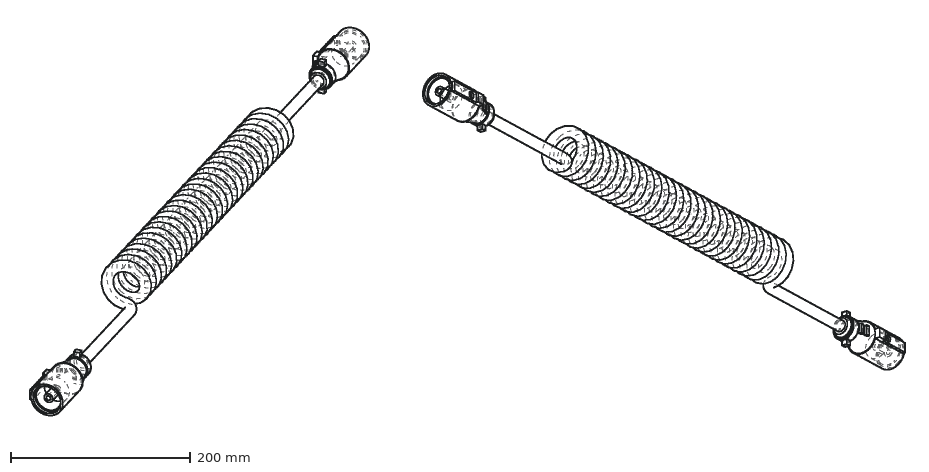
import cadquery as cq
import math


overall_length = 891.0
coil_offset = 7.0
cable_diameter = 13.0
cable_radius = cable_diameter / 2

coil_diameter = 44.0
coil_radius = coil_diameter / 2
turns = 29
coil_length = 399.0
pitch = coil_length / turns
helix_angle = math.atan2(pitch, 2 * math.pi * coil_radius)

lead_spacing = 28.0
lead_offset = lead_spacing / 2
lead_height = -coil_radius
bend_radius = lead_offset / (1 - math.sin(helix_angle))
bend_length = bend_radius * math.cos(helix_angle)
bend_sweep = 90 - math.degrees(helix_angle)

body_radius = 20.0
body_length = 54.0
cone_front_radius = 19.0
cone_rear_radius = 12.5
collar_start = 79.0
collar_end = 88.0
collar_radius = 14.0
neck_radius = 12.5
neck_straight = 3.0
neck_end_radius = 10.0
plug_length = 94.5

mouth_radius = 17.0
mouth_depth = 4.5
socket_radius = 15.0
socket_depth = 27.0
pin_radius = 5.0
pin_bore_radius = 3.0
pin_length = 22.0

rib_width = 12.0
rib_reach = 22.0
rib_start = 3.0
catch_reach = 25.0
catch_length = 11.0
dimple_radius = 4.0
dimple_depth = 3.0
dimple_place = 35.0

ridge_height = 1.3
ridge_length = 4.5
ridge_starts = (64.0, 72.0)

wing_width = 7.0
wing_span = 40.0
wing_length = 6.0


def coil():
    """The helical winding, from the +Y end to the -Y end, starting and ending at its underside."""
    winding_plane = cq.Plane(origin=(0, coil_length / 2, 0), xDir=(0, 0, -1), normal=(0, -1, 0))
    path = cq.Wire.makeHelix(pitch, coil_length, coil_radius).moved(winding_plane.location)
    start = cq.Plane(
        origin=(0, coil_length / 2, -coil_radius),
        xDir=(0, 0, 1),
        normal=(math.cos(helix_angle), -math.sin(helix_angle), 0),
    )
    return cq.Workplane(start).circle(cable_radius).sweep(cq.Workplane(path), isFrenet=True)


def lead(straight_length):
    """The bend and the straight cable that leave the +Y end of the coil."""
    bend_start = coil_length / 2 + bend_length
    section_plane = cq.Workplane("XZ", origin=(-lead_offset, bend_start, lead_height))
    bend = section_plane.circle(cable_radius).revolve(bend_sweep, (bend_radius, 0, 0), (bend_radius, 1, 0))
    straight = section_plane.circle(cable_radius).extrude(-straight_length)
    return bend.union(straight)


def side_block(reach, start, length):
    """A block on the -X side, from the plug axis out to the given reach."""
    block = cq.Workplane("XY").box(reach, length, rib_width)
    return block.translate((-reach / 2, -start - length / 2, 0))


def cone_radius(distance):
    """Radius of the cone at a distance from the open end."""
    fraction = (distance - body_length) / (collar_start - body_length)
    return cone_front_radius + fraction * (cone_rear_radius - cone_front_radius)


def plug():
    """A plug along Y with its open end at the origin, facing +Y."""
    shell = (
        cq.Workplane("XY")
        .polyline(
            [
                (0, 0),
                (body_radius, 0),
                (body_radius, -body_length),
                (cone_front_radius, -body_length),
                (cone_rear_radius, -collar_start),
                (collar_radius, -collar_start),
                (collar_radius, -collar_end),
                (neck_radius, -collar_end),
                (neck_radius, -collar_end - neck_straight),
                (neck_end_radius, -plug_length),
                (0, -plug_length),
            ]
        )
        .close()
        .revolve(360, (0, 0, 0), (0, 1, 0))
    )
    shell = shell.union(side_block(rib_reach, rib_start, body_length - rib_start))
    shell = shell.union(side_block(catch_reach, body_length - catch_length, catch_length))
    dimple_plane = cq.Workplane("YZ", origin=(-rib_reach, -dimple_place, 0))
    shell = shell.cut(dimple_plane.circle(dimple_radius).extrude(dimple_depth))
    for ridge_start in ridge_starts:
        ridge_reach = cone_radius(ridge_start) + ridge_height
        shell = shell.union(side_block(ridge_reach, ridge_start, ridge_length))
    wings = cq.Workplane("XY").box(wing_width, wing_length, wing_span)
    shell = shell.union(wings.translate((0, -(collar_start + collar_end) / 2, 0)))

    open_face = cq.Workplane("XZ")
    mouth = open_face.circle(mouth_radius).extrude(mouth_depth)
    socket = open_face.circle(socket_radius).extrude(socket_depth)
    pin_floor = cq.Workplane("XZ", origin=(0, -socket_depth, 0))
    pin = pin_floor.circle(pin_radius).circle(pin_bore_radius).extrude(-pin_length)
    return shell.cut(mouth).cut(socket).union(pin)


back_tip = overall_length / 2 + coil_offset
front_tip = overall_length / 2 - coil_offset
straight_start = coil_length / 2 + bend_length + plug_length

back_lead = lead(back_tip - straight_start)
front_lead = lead(front_tip - straight_start).rotate((0, 0, 0), (0, 0, 1), 180)
back_plug = plug().translate((-lead_offset, back_tip, lead_height))
front_plug = plug().mirror("XZ").translate((lead_offset, -front_tip, lead_height))

result = coil().union(back_lead).union(front_lead).union(back_plug).union(front_plug)